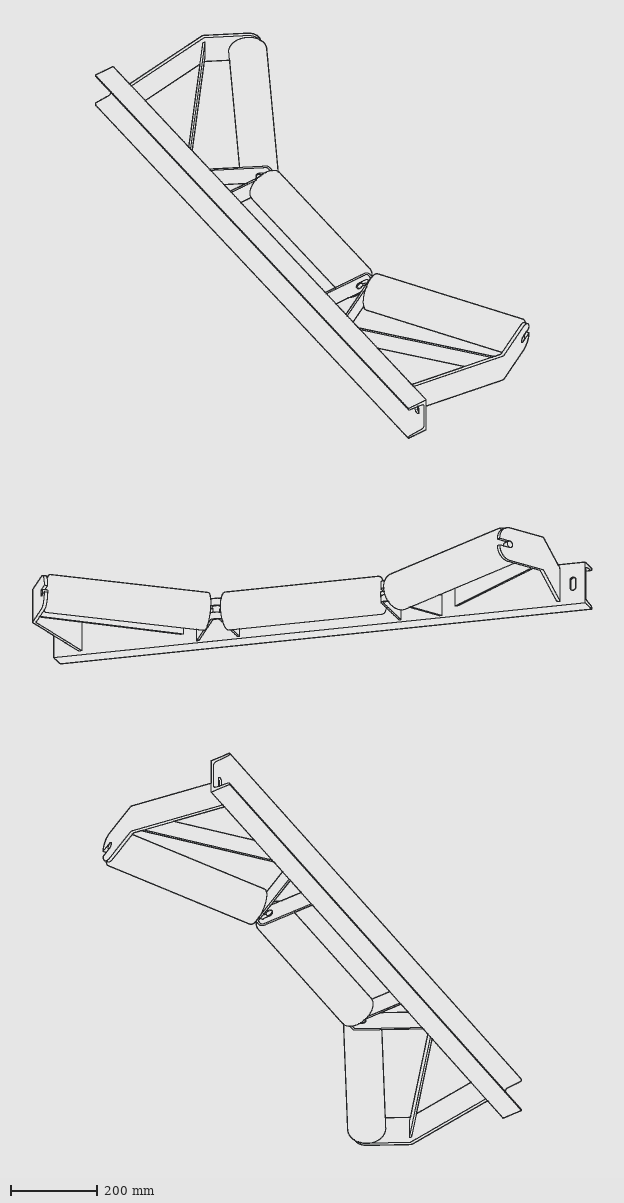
import cadquery as cq
import math


beam_length = 1300.0
beam_height = 100.0
beam_depth = 50.0
web_thickness = 6.0
flange_thickness = 8.5
flange_taper = 0.08
root_radius = 8.5
toe_radius = 4.5

slot_inset = 30.0
slot_width = 14.0
slot_length = 32.0

roller_diameter = 89.0
roller_length = 380.0
roller_edge_radius = 3.0
shaft_diameter = 16.0
trough_angle = 30.0
forward_tilt = 2.84
centre_roller_y = 166.0
centre_roller_z = 30.0
wing_roller_mid = (397.0, 272.37)
wing_outer_z = 49.0

outer_bar_thickness = 8.0
inner_bar_thickness = 5.0
bracket_gap = 5.0
inner_bend_radius = 4.0
outer_bracket_width = 80.0
outer_corner_radius = 32.0
outer_base_x = 589.0
outer_fold_below_axis = 104.0
outer_tip_above_axis = 32.0
inner_bracket_width = 50.0
inner_bracket_top_y = 193.0
brace_thickness = 5.0
brace_width = 50.0
brace_base_x = 340.0

trim_margin = 15.0

shaft_stub = bracket_gap + outer_bar_thickness
sin_trough = math.sin(math.radians(trough_angle))
cos_trough = math.cos(math.radians(trough_angle))
tilt = math.radians(forward_tilt)
wing_mid_z = wing_outer_z - (roller_length / 2 + bracket_gap) * math.sin(tilt)


def strip_outline(path, thickness):
    """Outline of a flat bar of the given thickness whose left-hand face follows the path."""
    normals = []
    for (x0, y0), (x1, y1) in zip(path, path[1:]):
        length = math.hypot(x1 - x0, y1 - y0)
        normals.append(((y1 - y0) / length, (x0 - x1) / length))
    other_face = []
    for i, (x, y) in enumerate(path):
        before = normals[max(i - 1, 0)]
        after = normals[min(i, len(normals) - 1)]
        mitre = thickness / (1 + before[0] * after[0] + before[1] * after[1])
        other_face.append((x + mitre * (before[0] + after[0]), y + mitre * (before[1] + after[1])))
    return path, other_face


def straight_bar(path, thickness, middle_z, width):
    """Flat bar standing on edge with sharp folds, its left-hand face on the path."""
    outside, inside = strip_outline(path, thickness)
    plane = cq.Workplane("XY", origin=(0, 0, middle_z))
    return plane.polyline(outside + inside[::-1]).close().extrude(width / 2, both=True)


def bent_bar(path, thickness, middle_z, width):
    """Flat bar standing on edge with a rounded bend at each inner point of the path."""
    bar = straight_bar(path, thickness, middle_z, width)
    outside, inside = strip_outline(path, thickness)
    for face, radius in ((outside, inner_bend_radius + thickness), (inside, inner_bend_radius)):
        for x, y in face[1:-1]:
            fold_edge = cq.selectors.NearestToPointSelector((x, y, middle_z))
            bar = bar.edges("|Z").edges(fold_edge).fillet(radius)
    return bar


def run_past(start, end, distance):
    """Point beyond the end of a line by the given distance."""
    length = math.dist(start, end)
    return tuple(e + (e - s) * distance / length for s, e in zip(start, end))


def trim_to_beam(bar):
    """Cut the bar square against the back of the web."""
    beam_side = cq.Workplane("XY").box(beam_length, 2 * beam_depth, 4 * beam_height)
    return bar.cut(beam_side)


def mirrored(body):
    return body.mirror("YZ")


wing_axis = (cos_trough * math.cos(tilt), sin_trough * math.cos(tilt), math.sin(tilt))
up = (-wing_axis[0] * math.tan(tilt), -wing_axis[1] * math.tan(tilt), math.cos(tilt))
wing_plane = cq.Plane(origin=(*wing_roller_mid, wing_mid_z), xDir=up, normal=wing_axis)
centre_plane = cq.Plane(origin=(0, centre_roller_y, centre_roller_z), xDir=(0, 0, 1), normal=(1, 0, 0))


def make_beam():
    web_back = beam_depth
    web_front = web_back - web_thickness
    half = beam_height / 2
    toe = half - flange_thickness + flange_taper * beam_depth / 2
    root = half - flange_thickness - flange_taper * (beam_depth / 2 - web_thickness)
    beam = (
        cq.Workplane("YZ", origin=(-beam_length / 2, 0, half))
        .polyline([
            (web_back, -half), (web_back, half), (0, half), (0, toe),
            (web_front, root), (web_front, -root), (0, -toe), (0, -half),
        ])
        .close()
        .extrude(beam_length)
    )
    for side in (1, -1):
        for (y, z), radius in (((web_front, root), root_radius), ((0, toe), toe_radius)):
            corner = cq.selectors.NearestToPointSelector((0, y, half + side * z))
            beam = beam.edges("|X").edges(corner).fillet(radius)
    slots = (
        cq.Workplane("XZ", origin=(0, 0, half))
        .pushPoints([(side * (beam_length / 2 - slot_inset), 0) for side in (1, -1)])
        .slot2D(slot_length, slot_width, 90)
        .extrude(-beam_depth)
    )
    return beam.cut(slots)


def centred_cylinder(plane, diameter, length):
    return cq.Workplane(plane).workplane(offset=-length / 2).circle(diameter / 2).extrude(length)


def make_roller(plane):
    shell = centred_cylinder(plane, roller_diameter, roller_length)
    shell = shell.edges("%CIRCLE").fillet(roller_edge_radius)
    return shell.union(centred_cylinder(plane, shaft_diameter, roller_length + 2 * shaft_stub))


def shaft_slot(plane):
    """Slot that seats a shaft end and runs out towards +Y, for cutting the brackets."""
    length = roller_length + 4 * shaft_stub
    seat = centred_cylinder(plane, shaft_diameter, length)
    opening = (
        cq.Workplane(plane)
        .center(0, -roller_diameter / 2)
        .box(shaft_diameter, roller_diameter, length)
    )
    return seat.union(opening)


def wing_point(along, across):
    """Point seen from above, measured from the wing roller's middle along and across its axis."""
    return (
        wing_roller_mid[0] + along * cos_trough - across * sin_trough,
        wing_roller_mid[1] + along * sin_trough + across * cos_trough,
    )


def make_outer_bracket():
    face = roller_length / 2 + shaft_stub
    tip = wing_point(face, outer_tip_above_axis)
    fold = wing_point(face, -outer_fold_below_axis)
    base = run_past(fold, (outer_base_x, beam_depth), trim_margin)
    bar = bent_bar([tip, fold, base], outer_bar_thickness, beam_height / 2, outer_bracket_width)
    across_thickness = cq.selectors.ParallelDirSelector(cq.Vector(cos_trough, sin_trough, 0))
    for side in (1, -1):
        corner = (*tip, (beam_height + side * outer_bracket_width) / 2)
        tip_edge = cq.selectors.NearestToPointSelector(corner)
        bar = bar.edges(across_thickness).edges(tip_edge).fillet(outer_corner_radius)
    return trim_to_beam(bar)


def make_inner_bracket():
    upright_x = roller_length / 2 + bracket_gap
    leg_face = -upright_x

    def leg_point(y):
        across = (y - wing_roller_mid[1] - leg_face * sin_trough) / cos_trough
        return wing_point(leg_face, across)

    path = [
        (upright_x, beam_depth - trim_margin),
        (upright_x, inner_bracket_top_y),
        leg_point(inner_bracket_top_y),
        leg_point(beam_depth - trim_margin),
    ]
    return trim_to_beam(bent_bar(path, inner_bar_thickness, centre_roller_z, inner_bracket_width))


def make_brace():
    face = roller_length / 2 + bracket_gap
    top = wing_point(face, -outer_fold_below_axis)
    base = (brace_base_x, beam_depth)
    path = [run_past(base, top, outer_bar_thickness / 2), run_past(top, base, trim_margin)]
    brace = straight_bar(path, brace_thickness, beam_height / 2, brace_width)
    return trim_to_beam(brace)


beam = make_beam()
centre_roller = make_roller(centre_plane)
wing_roller = make_roller(wing_plane)
wing_slot = shaft_slot(wing_plane)
outer_bracket = make_outer_bracket()
brace = make_brace().cut(outer_bracket)
outer_bracket = outer_bracket.cut(wing_slot)
inner_bracket = make_inner_bracket().cut(wing_slot).cut(shaft_slot(centre_plane))

bodies = [beam.val(), centre_roller.val()]
for body in (wing_roller, outer_bracket, inner_bracket, brace):
    bodies += [body.val(), mirrored(body).val()]
result = cq.Compound.makeCompound(bodies)